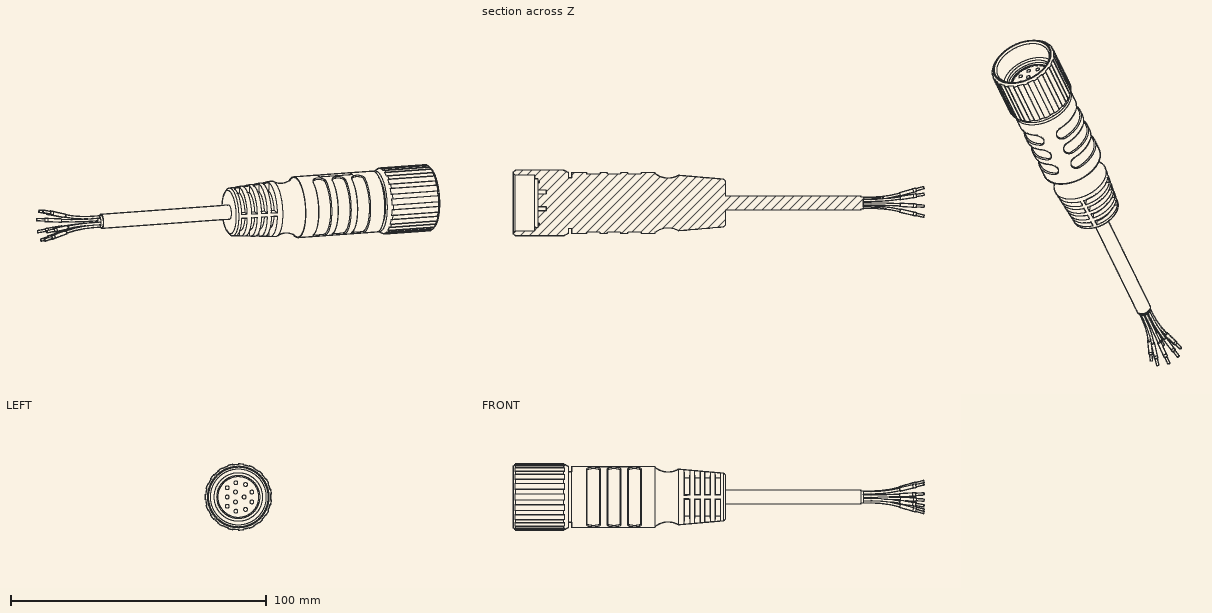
import cadquery as cq
import math

TOTAL_LENGTH = 160.8

NUT_DIA = 26.0
NUT_LENGTH = 21.7
NUT_FRONT_CHAMFER = 1.0
NUT_REAR_CHAMFER_LENGTH = 2.1
NUT_REAR_CHAMFER_HEIGHT = 1.1
GROOVE_COUNT = 19
GROOVE_DEPTH = 0.24
GROOVE_SHARE = 0.56

BORE_DIA = 21.9
BORE_MOUTH_DIA = 23.3
BORE_DEPTH = 8.4
INSERT_RECESS_DIA = 19.0
INSERT_RECESS_DEPTH = 1.3
INSERT_RING_OUTER_DIA = 16.9
INSERT_RING_INNER_DIA = 16.0
INSERT_RING_DEPTH = 0.5
CONTACT_DIA = 1.5
CONTACT_DEPTH = 3.2
OUTER_CONTACT_RADIUS = 5.6
OUTER_CONTACT_STEP = 40.0
KEY_CONTACT_RADIUS = 4.3
INNER_CONTACT_COUNT = 3
INNER_CONTACT_RADIUS = 2.3

NECK_DIA = 20.0
BODY_DIA = 24.0
BODY_START = 22.8
BODY_END = 55.5
WAIST_START_DIA = 23.3
WAIST_X = 60.6
WAIST_DIA = 19.6
GRIP_COUNT = 3
GRIP_PITCH = 8.0
GRIP_MIDDLE_X = 39.4
GRIP_MOUTH_WIDTH = 5.5
GRIP_FLOOR_WIDTH = 4.8
GRIP_FLOOR_DIA = 22.8
GRIP_GAP = 5.5
LABEL_LENGTH = 13.5
LABEL_WIDTH = 3.5
LABEL_DEPTH = 0.2

RELIEF_START = 64.6
RELIEF_START_DIA = 21.9
RELIEF_END = 83.1
RELIEF_END_DIA = 18.7
RELIEF_CHAMFER = 0.8
FLEX_SLOT_COUNT = 4
FIRST_FLEX_SLOT_X = 68.0
FLEX_SLOT_PITCH = 4.0
FLEX_FLOOR_DIA = 15.1
FLEX_FLOOR_WIDTH = 2.0
FLEX_MOUTH_WIDTH = 2.4
FLEX_RIB_COUNT = 4
FLEX_RIB_ROOT_WIDTH = 2.1
FLEX_RIB_TOP_WIDTH = 1.3

CABLE_DIA = 5.6
CABLE_END = 136.0
INNER_JACKET_DIA = 4.8
INNER_JACKET_END = 137.0
WIRE_DIA = 1.0
WIRE_SLEEVE_DIA = 1.4
WIRE_COLLAR_DIA = 1.5
WIRE_COUNT = 7
WIRE_STEP = 45.0
FIRST_WIRE_ANGLE = 78.75
WIRE_RING_RADIUS = (INNER_JACKET_DIA - WIRE_DIA) / 2
FAN_ANGLE = 16.0
BEND_START = 139.9
BEND_END = 151.3
SLEEVE_END = 156.5
COLLAR_END = 157.6

CUT_RADIUS = NUT_DIA
CABLE_EMBED = 1.6
WIRE_EMBED = 0.6


def rod(diameter, start, end):
    """Cylinder along the X axis."""
    return cq.Workplane("YZ", origin=(start, 0, 0)).circle(diameter / 2).extrude(end - start)


def ring(inner_dia, outer_dia, start, end):
    """Tube along the X axis."""
    return (
        cq.Workplane("YZ", origin=(start, 0, 0))
        .circle(outer_dia / 2)
        .circle(inner_dia / 2)
        .extrude(end - start)
    )


def tapered_ring(middle_x, floor_dia, floor_width, mouth_dia, mouth_width):
    """Turned band with a trapezoid section, wider at the mouth than at the floor."""
    return (
        cq.Workplane("XY")
        .polyline([
            (middle_x - floor_width / 2, floor_dia / 2),
            (middle_x + floor_width / 2, floor_dia / 2),
            (middle_x + mouth_width / 2, mouth_dia / 2),
            (middle_x - mouth_width / 2, mouth_dia / 2),
        ])
        .close()
        .revolve(360, (0, 0, 0), (1, 0, 0))
    )


def make_shell():
    """Nut, neck, body, waist and strain relief as one turned solid."""
    nut_radius = NUT_DIA / 2
    shell = (
        cq.Workplane("XY")
        .lineTo(0, nut_radius - NUT_FRONT_CHAMFER)
        .lineTo(NUT_FRONT_CHAMFER, nut_radius)
        .lineTo(NUT_LENGTH - NUT_REAR_CHAMFER_LENGTH, nut_radius)
        .lineTo(NUT_LENGTH, nut_radius - NUT_REAR_CHAMFER_HEIGHT)
        .lineTo(NUT_LENGTH, NECK_DIA / 2)
        .lineTo(BODY_START, NECK_DIA / 2)
        .lineTo(BODY_START, BODY_DIA / 2)
        .lineTo(BODY_END, BODY_DIA / 2)
        .lineTo(BODY_END, WAIST_START_DIA / 2)
        .threePointArc((WAIST_X, WAIST_DIA / 2), (RELIEF_START, RELIEF_START_DIA / 2))
        .lineTo(RELIEF_END, RELIEF_END_DIA / 2)
        .lineTo(RELIEF_END, 0)
        .close()
        .revolve(360, (0, 0, 0), (1, 0, 0))
    )
    return shell.faces(">X").edges().chamfer(RELIEF_CHAMFER)


def knurl_cutter():
    """Shallow lengthwise grooves around the nut, the first centred on -Y."""
    pitch = 360 / GROOVE_COUNT
    half_angle = math.radians(pitch * GROOVE_SHARE / 2)
    reach = CUT_RADIUS * math.cos(half_angle)
    spread = CUT_RADIUS * math.sin(half_angle)
    wedge = (
        cq.Workplane("YZ")
        .polyline([(0, 0), (-reach, spread), (-reach, -spread)])
        .close()
        .extrude(NUT_LENGTH)
    )
    sector = wedge.cut(rod(NUT_DIA - 2 * GROOVE_DEPTH, 0, NUT_LENGTH))
    cutter = cq.Workplane("XY")
    for i in range(GROOVE_COUNT):
        cutter = cutter.add(sector.rotate((0, 0, 0), (1, 0, 0), i * pitch))
    return cutter.combine()


def contact_points():
    """(Y, Z) centres of the contacts: eight on the outer circle, one key contact, three inside."""
    points = [(KEY_CONTACT_RADIUS, 0)]
    outer_count = round(360 / OUTER_CONTACT_STEP)
    for i in range(1, outer_count):
        angle = math.radians(i * OUTER_CONTACT_STEP)
        points.append((OUTER_CONTACT_RADIUS * math.cos(angle), OUTER_CONTACT_RADIUS * math.sin(angle)))
    for i in range(INNER_CONTACT_COUNT):
        angle = math.pi + i * 2 * math.pi / INNER_CONTACT_COUNT
        points.append((INNER_CONTACT_RADIUS * math.cos(angle), INNER_CONTACT_RADIUS * math.sin(angle)))
    return points


def socket_cutter():
    """Stepped bore with a chamfered mouth, insert ring groove and contact holes."""
    floor = BORE_DEPTH + INSERT_RECESS_DEPTH
    mouth = (BORE_MOUTH_DIA - BORE_DIA) / 2
    bore = (
        cq.Workplane("XY")
        .polyline([
            (0, 0),
            (0, BORE_MOUTH_DIA / 2),
            (mouth, BORE_DIA / 2),
            (BORE_DEPTH, BORE_DIA / 2),
            (BORE_DEPTH, INSERT_RECESS_DIA / 2),
            (floor, INSERT_RECESS_DIA / 2),
            (floor, 0),
        ])
        .close()
        .revolve(360, (0, 0, 0), (1, 0, 0))
    )
    groove = ring(INSERT_RING_INNER_DIA, INSERT_RING_OUTER_DIA, BORE_DEPTH, floor + INSERT_RING_DEPTH)
    holes = (
        cq.Workplane("YZ", origin=(BORE_DEPTH, 0, 0))
        .pushPoints(contact_points())
        .circle(CONTACT_DIA / 2)
        .extrude(INSERT_RECESS_DEPTH + CONTACT_DEPTH)
    )
    return bore.union(groove).union(holes)


def grip_cutter():
    """Shallow round-ended finger slots wrapping both sides of the body."""
    first_x = GRIP_MIDDLE_X - GRIP_PITCH * (GRIP_COUNT - 1) / 2
    slot_length = CUT_RADIUS
    slot_middle = (GRIP_GAP + slot_length) / 2
    cutter = cq.Workplane("XY")
    for i in range(GRIP_COUNT):
        x = first_x + i * GRIP_PITCH
        band = tapered_ring(x, GRIP_FLOOR_DIA, GRIP_FLOOR_WIDTH, BODY_DIA, GRIP_MOUTH_WIDTH)
        slots = (
            cq.Workplane("XY")
            .pushPoints([(x, -slot_middle), (x, slot_middle)])
            .slot2D(slot_length, GRIP_MOUTH_WIDTH, 90)
            .extrude(CUT_RADIUS, both=True)
        )
        cutter = cutter.add(band.intersect(slots))
    return cutter.combine()


def label_cutter():
    """Flat rectangular label field on top of the body."""
    floor_z = BODY_DIA / 2 - LABEL_DEPTH
    return (
        cq.Workplane("XY", origin=(GRIP_MIDDLE_X, 0, floor_z))
        .rect(LABEL_LENGTH, LABEL_WIDTH)
        .extrude(BODY_DIA / 2)
    )


def flex_cutter():
    """Tapered ring slots in the strain relief, interrupted by four tapered lengthwise ribs."""
    floor = FLEX_FLOOR_DIA / 2
    top = RELIEF_START_DIA / 2
    cutter = cq.Workplane("XY")
    for i in range(FLEX_SLOT_COUNT):
        x = FIRST_FLEX_SLOT_X + i * FLEX_SLOT_PITCH
        slot = tapered_ring(x, FLEX_FLOOR_DIA, FLEX_FLOOR_WIDTH, RELIEF_START_DIA, FLEX_MOUTH_WIDTH)
        cutter = cutter.add(slot)
    cutter = cutter.combine()
    rib = (
        cq.Workplane("YZ", origin=(RELIEF_START, 0, 0))
        .polyline([
            (-FLEX_RIB_ROOT_WIDTH / 2, 0),
            (-FLEX_RIB_ROOT_WIDTH / 2, floor),
            (-FLEX_RIB_TOP_WIDTH / 2, top),
            (FLEX_RIB_TOP_WIDTH / 2, top),
            (FLEX_RIB_ROOT_WIDTH / 2, floor),
            (FLEX_RIB_ROOT_WIDTH / 2, 0),
        ])
        .close()
        .extrude(RELIEF_END - RELIEF_START)
    )
    for i in range(FLEX_RIB_COUNT):
        cutter = cutter.cut(rib.rotate((0, 0, 0), (1, 0, 0), i * 360 / FLEX_RIB_COUNT))
    return cutter


def make_wire():
    """One wire in the XY plane: straight, bent outwards, then sleeve, collar and bare tip in line."""
    slope = math.tan(math.radians(FAN_ANGLE))
    bend_rise = (BEND_END - BEND_START) * math.tan(math.radians(FAN_ANGLE / 2))
    direction = cq.Vector(1, slope, 0).normalized()

    def on_axis(x):
        return cq.Vector(x, WIRE_RING_RADIUS + bend_rise + (x - BEND_END) * slope, 0)

    def section(diameter, start, end):
        length = (end - start) / direction.x
        return cq.Workplane(cq.Solid.makeCylinder(diameter / 2, length, on_axis(start), direction))

    path_start = INNER_JACKET_END - WIRE_EMBED
    path = (
        cq.Workplane("XY")
        .moveTo(path_start, WIRE_RING_RADIUS)
        .lineTo(BEND_START, WIRE_RING_RADIUS)
        .tangentArcPoint(on_axis(BEND_END).toTuple()[:2], relative=False)
    )
    bend = (
        cq.Workplane("YZ", origin=(path_start, 0, 0))
        .center(WIRE_RING_RADIUS, 0)
        .circle(WIRE_DIA / 2)
        .sweep(path)
    )
    tip_end = TOTAL_LENGTH - WIRE_DIA / 2 * direction.y
    return (
        bend
        .union(section(WIRE_SLEEVE_DIA, BEND_END, SLEEVE_END))
        .union(section(WIRE_COLLAR_DIA, SLEEVE_END, COLLAR_END))
        .union(section(WIRE_DIA, COLLAR_END, tip_end))
    )


def make_cable():
    """Cable, exposed inner jacket and the fan of wires."""
    cable = rod(CABLE_DIA, RELIEF_END - CABLE_EMBED, CABLE_END)
    cable = cable.union(rod(INNER_JACKET_DIA, CABLE_END - CABLE_EMBED, INNER_JACKET_END))
    wire = make_wire()
    for i in range(WIRE_COUNT):
        angle = FIRST_WIRE_ANGLE + i * WIRE_STEP
        cable = cable.union(wire.rotate((0, 0, 0), (1, 0, 0), angle))
    return cable


shell = make_shell()
for cutter in (knurl_cutter(), socket_cutter(), grip_cutter(), label_cutter(), flex_cutter()):
    shell = shell.cut(cutter)

result = shell.union(make_cable())